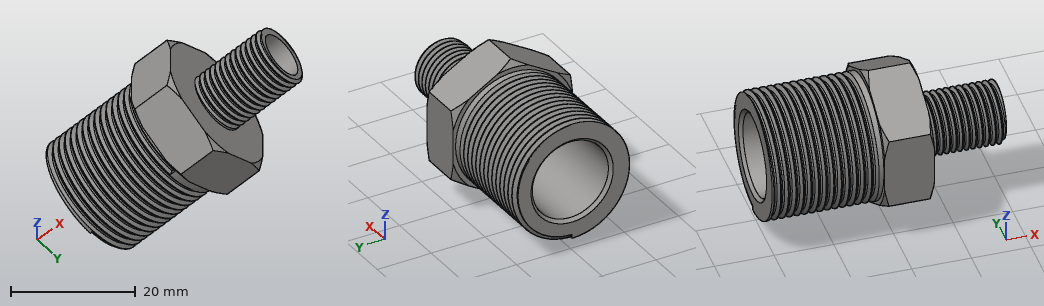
import cadquery as cq
import math

total_length = 41.05
large_end = 18.73
hex_end = 27.1

across_flats = 22.2
across_corners = across_flats / math.cos(math.radians(30))
hex_face_radius = 11.55
chamfer_angle = 30.0

large_radius = 10.68
large_turns = 14
large_thread_length = 17.8
large_pitch = large_thread_length / large_turns
large_start = -0.1
small_radius = 5.25
small_turns = 13
small_thread_length = 14.25
small_pitch = small_thread_length / small_turns
small_start = total_length + small_pitch / 2
crest_fraction = 1 / 8
root_fraction = 1 / 4
flank_angle = 30.0
cut_clearance = 0.12

through_diameter = 7.8
wide_diameter = 14.13
wide_depth = large_end
mouth_chamfer = 0.57


def stub(radius, start, end):
    """Plain cylinder along X."""
    return cq.Workplane("YZ").workplane(offset=start).circle(radius).extrude(end - start)


def chamfered_hexagon():
    """Hexagon with corners on Z, trimmed by a cone at each end face."""
    prism = (
        cq.Workplane("YZ")
        .workplane(offset=large_end)
        .polygon(6, across_corners)
        .extrude(hex_end - large_end)
        .rotate((0, 0, 0), (1, 0, 0), 90)
    )
    corner_radius = across_corners / 2
    chamfer_length = (corner_radius - hex_face_radius) * math.tan(math.radians(chamfer_angle))
    trim = (
        cq.Workplane("XY")
        .moveTo(large_end, 0)
        .lineTo(large_end, hex_face_radius)
        .lineTo(large_end + chamfer_length, corner_radius)
        .lineTo(hex_end - chamfer_length, corner_radius)
        .lineTo(hex_end, hex_face_radius)
        .lineTo(hex_end, 0)
        .close()
        .revolve(360, (0, 0, 0), (1, 0, 0))
    )
    return prism.intersect(trim)


def thread_groove(radius, pitch, turns):
    """Right-hand V groove winding up +Z from the origin, starting on +X."""
    slope = math.tan(math.radians(flank_angle))
    root_half = root_fraction * pitch / 2
    crest_half = (1 - crest_fraction) * pitch / 2
    root_radius = radius - (crest_half - root_half) / slope
    outer_radius = radius + cut_clearance
    outer_half = crest_half + cut_clearance * slope
    path = cq.Wire.makeHelix(pitch, pitch * turns, radius)
    return (
        cq.Workplane("XZ")
        .moveTo(root_radius, -root_half)
        .lineTo(outer_radius, -outer_half)
        .lineTo(outer_radius, outer_half)
        .lineTo(root_radius, root_half)
        .close()
        .sweep(cq.Workplane(obj=path), isFrenet=True)
    )


def large_thread():
    """Groove starting on -Z at the left end and advancing along +X."""
    groove = thread_groove(large_radius, large_pitch, large_turns)
    return groove.rotate((0, 0, 0), (0, 1, 0), 90).translate((large_start, 0, 0))


def small_thread():
    """Groove starting on +Z beyond the right end and advancing along -X."""
    groove = thread_groove(small_radius, small_pitch, small_turns)
    return groove.rotate((0, 0, 0), (0, 1, 0), -90).translate((small_start, 0, 0))


def bore():
    """Through hole, widened from the left with a chamfered mouth."""
    wide_radius = wide_diameter / 2
    through_radius = through_diameter / 2
    return (
        cq.Workplane("XY")
        .lineTo(0, wide_radius + mouth_chamfer)
        .lineTo(mouth_chamfer, wide_radius)
        .lineTo(wide_depth, wide_radius)
        .lineTo(wide_depth, through_radius)
        .lineTo(total_length, through_radius)
        .lineTo(total_length, 0)
        .close()
        .revolve(360, (0, 0, 0), (1, 0, 0))
    )


large_stub = stub(large_radius, 0, large_end).cut(large_thread())
small_stub = stub(small_radius, hex_end, total_length).cut(small_thread())
result = large_stub.union(chamfered_hexagon()).union(small_stub).cut(bore())